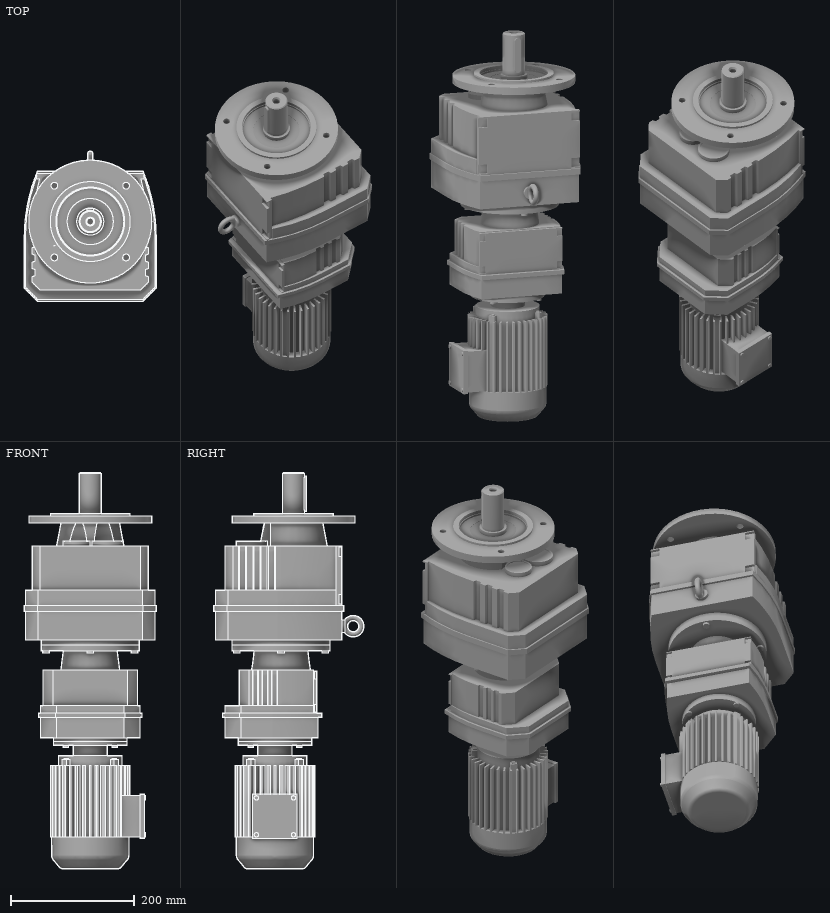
import cadquery as cq
import math


TOTAL_HEIGHT = 644.0
LARGE_JOINT_Z = 364.0
SMALL_JOINT_Z = 206.8
SMALL_AXIS_Y = -20.3
MOTOR_AXIS_Y = -30.2

SHAFT_RADIUS = 18.0
SHAFT_CHAMFER = 1.5
SHAFT_LENGTH = 70.0
COLLAR_RADIUS = 22.0
COLLAR_HEIGHT = 7.0
CENTER_HOLE_RADIUS = 5.5
CENTER_HOLE_DEPTH = 28.0
CENTER_MOUTH_RADIUS = 7.0
CENTER_MOUTH_DEPTH = 3.0
KEY_WIDTH = 10.0
KEY_LENGTH = 58.0
KEY_TOP_GAP = 5.0
KEY_PROUD = 3.0

FLANGE_RADIUS = 100.0
FLANGE_THICKNESS = 12.0
FLANGE_TOP_Z = TOTAL_HEIGHT - SHAFT_LENGTH
FLANGE_BOTTOM_Z = FLANGE_TOP_Z - FLANGE_THICKNESS
PILOT_RADIUS = 65.0
PILOT_HEIGHT = 3.5
PILOT_TOP_Z = FLANGE_TOP_Z + PILOT_HEIGHT
BOLT_CIRCLE = 165.0
BOLT_HOLE = 11.0
RECESS_RADIUS = 56.0
RECESS_FLOOR_RADIUS = 54.5
RECESS_DEPTH = 8.5
RECESS_STEP_DEPTH = 5.5
SEAL_RADIUS = 37.5
SEAL_DEPTH = 0.5

LARGE_CONE_TOP_RADIUS = 48.0
LARGE_CONE_BOTTOM_RADIUS = 55.0
LARGE_HOUSING_TOP_Z = 525.0
LARGE_COVER_TOP_Z = 453.2
LARGE_LIP_TOP_Z = 428.5
LARGE_LIP_BOTTOM_Z = 418.8
LARGE_COVER_BOTTOM_Z = 372.0
LARGE_DISC_RADIUS = 80.0
BOSS_HEIGHT = 7.7
BOSS_RIM = 3.0
BOSS_RECESS_DEPTH = 1.0
BOSSES = ((-22.5, -67.0, 22.0), (28.5, -68.0, 25.5))
SCALLOPS = ((-28.0, -69.0, 27.5), (33.0, -67.0, 30.0))

EYE_RING_RADIUS = 13.2
EYE_WIRE_RADIUS = 4.3
EYE_Y = 97.0
EYE_Z = 394.5
EYE_STEM_RADIUS = 10.5

SMALL_FLANGE_BOTTOM_Z = 354.6
SMALL_CONE_TOP_RADIUS = 44.0
SMALL_CONE_BOTTOM_RADIUS = 48.0
SMALL_HOUSING_TOP_Z = 323.5
SMALL_COVER_TOP_Z = 265.3
SMALL_LIP_TOP_Z = 253.4
SMALL_LIP_BOTTOM_Z = 246.3
SMALL_COVER_BOTTOM_Z = 213.1
SMALL_DISC_RADIUS = 60.0
SMALL_BOLT_CIRCLE = 144.0
SMALL_BOLT_DIAMETER = 11.0
BOLT_HEAD_HEIGHT = 4.0

MOTOR_DISC_BOTTOM_Z = 200.8
MOTOR_BOLT_CIRCLE = 112.0
MOTOR_BOLT_DIAMETER = 9.0
MOTOR_BOLT_HEAD = 3.2
NECK_RADIUS = 28.0
MOTOR_FLANGE_TOP_Z = 184.2
CORE_RADIUS = 52.0
FIN_TOP_Z = 168.5
FIN_BOTTOM_Z = 51.5
FIN_TIP_RADIUS = 65.0
FIN_THICKNESS = 3.0
FIN_COUNT = 36
LUG_TOP_Z = 177.6
LUG_RADIUS = 60.0
LUG_WIDTH = 11.0
LUG_CAP_WIDTH = 5.0
LUG_CAP_RADIUS = 58.0
LUG_CAP_HEIGHT = 2.0
FAN_COVER_RADIUS = 63.0
FAN_COVER_FLAT_RADIUS = 48.0
FAN_COVER_EDGE_Z = 18.0
FAN_COVER_TOP_ROUND = 10.0
FAN_COVER_BOTTOM_ROUND = 8.0

BOX_START_X = 40.0
BOX_END_X = 81.0
BOX_HALF_DEPTH = 34.2
BOX_BOTTOM_Z = FIN_BOTTOM_Z
BOX_TOP_Z = 119.5
LID_END_X = 88.2
LID_OVERHANG = 2.0
LID_SCREW_DIAMETER = 7.0
LID_SCREW_HEIGHT = 2.0
LID_SCREW_INSET = 6.0


def cylinder(x, y, radius, bottom, top):
    return cq.Workplane("XY", origin=(x, y, bottom)).circle(radius).extrude(top - bottom)


def cone(y, bottom_radius, top_radius, bottom, top):
    profile = [(0, bottom), (bottom_radius, bottom), (top_radius, top), (0, top)]
    return cq.Workplane("XZ", origin=(0, y, 0)).polyline(profile).close().revolve(360, (0, 0), (0, 1))


def block(x_min, x_max, y_min, y_max, bottom, top):
    size = (x_max - x_min, y_max - y_min, top - bottom)
    return cq.Workplane("XY", origin=(x_min, y_min, bottom)).box(*size, centered=False)


def housing_layer(half_width, front, corner, bend, back, back_half_width, bottom, top):
    """Gear case layer: chamfered front corners, and sides that curve inward from y = bend to the back."""
    inset = half_width - back_half_width
    run = back - bend
    radius = (inset**2 + run**2) / (2 * inset)
    half_angle = math.asin(run / radius) / 2
    mid_x = half_width - radius * (1 - math.cos(half_angle))
    mid_y = bend + radius * math.sin(half_angle)
    return (
        cq.Workplane("XY", origin=(0, 0, bottom))
        .moveTo(-half_width + corner, front)
        .lineTo(half_width - corner, front)
        .lineTo(half_width, front + corner)
        .lineTo(half_width, bend)
        .threePointArc((mid_x, mid_y), (back_half_width, back))
        .lineTo(-back_half_width, back)
        .threePointArc((-mid_x, mid_y), (-half_width, bend))
        .lineTo(-half_width, front + corner)
        .close()
        .extrude(top - bottom)
    )


def side_grooves(half_width, depth, first_y, pitch, mouth, floor, bottom, top):
    """Three tapered vertical grooves in each side face, stepping from first_y toward the front."""
    grooves = cq.Workplane("XY")
    for side in (-1, 1):
        for index in range(3):
            center = first_y - index * pitch
            outline = [
                (side * half_width, center - mouth / 2),
                (side * half_width, center + mouth / 2),
                (side * (half_width - depth), center + floor / 2),
                (side * (half_width - depth), center - floor / 2),
            ]
            groove = cq.Workplane("XY", origin=(0, 0, bottom)).polyline(outline).close().extrude(top - bottom)
            grooves = grooves.add(groove)
    return grooves.combine()


def back_plate(half_width, front, back, bottom, top, pocket_depth, pocket_width, pocket_height, pocket_gap):
    """Plate on the back of a gear case, with a pocket cut near each of its four corners."""
    plate = block(-half_width, half_width, front, back, bottom, top)
    for x_min in (-half_width, half_width - pocket_width):
        for z_min in (bottom + pocket_gap, top - pocket_gap - pocket_height):
            plate = plate.cut(
                block(x_min, x_min + pocket_width, back - pocket_depth, back, z_min, z_min + pocket_height)
            )
    return plate


def bolt_heads(y, circle, diameter, start_angle, height, top):
    return (
        cq.Workplane("XY", origin=(0, y, top - height))
        .polarArray(circle / 2, start_angle, 360, 4)
        .circle(diameter / 2)
        .extrude(height)
    )


def output_flange():
    flange = cylinder(0, 0, FLANGE_RADIUS, FLANGE_BOTTOM_Z, FLANGE_TOP_Z)
    flange = flange.union(cylinder(0, 0, PILOT_RADIUS, FLANGE_TOP_Z, PILOT_TOP_Z))
    floor_z = PILOT_TOP_Z - RECESS_DEPTH
    step_z = PILOT_TOP_Z - RECESS_STEP_DEPTH
    flange = flange.cut(cylinder(0, 0, RECESS_FLOOR_RADIUS, floor_z, PILOT_TOP_Z))
    flange = flange.cut(cylinder(0, 0, RECESS_RADIUS, step_z, PILOT_TOP_Z))
    flange = flange.cut(cylinder(0, 0, SEAL_RADIUS, floor_z - SEAL_DEPTH, floor_z))
    holes = (
        cq.Workplane("XY", origin=(0, 0, FLANGE_BOTTOM_Z))
        .polarArray(BOLT_CIRCLE / 2, 45, 360, 4)
        .circle(BOLT_HOLE / 2)
        .extrude(FLANGE_THICKNESS)
    )
    return flange.cut(holes)


def output_shaft():
    base_z = PILOT_TOP_Z - RECESS_DEPTH - SEAL_DEPTH
    shaft = cylinder(0, 0, SHAFT_RADIUS, base_z, TOTAL_HEIGHT).faces(">Z").chamfer(SHAFT_CHAMFER)
    shaft = shaft.union(cylinder(0, 0, COLLAR_RADIUS, base_z, base_z + COLLAR_HEIGHT))
    key_center_z = TOTAL_HEIGHT - KEY_TOP_GAP - KEY_LENGTH / 2
    key = (
        cq.Workplane("XZ", origin=(0, 0, key_center_z))
        .slot2D(KEY_LENGTH, KEY_WIDTH, 90)
        .extrude(-(SHAFT_RADIUS + KEY_PROUD))
    )
    hole = cylinder(0, 0, CENTER_HOLE_RADIUS, TOTAL_HEIGHT - CENTER_HOLE_DEPTH, TOTAL_HEIGHT)
    mouth = cone(0, CENTER_HOLE_RADIUS, CENTER_MOUTH_RADIUS, TOTAL_HEIGHT - CENTER_MOUTH_DEPTH, TOTAL_HEIGHT)
    return shaft.union(key).cut(hole).cut(mouth)


def lifting_eye(back):
    ring = cq.Workplane(
        cq.Solid.makeTorus(EYE_RING_RADIUS, EYE_WIRE_RADIUS, cq.Vector(0, EYE_Y, EYE_Z), cq.Vector(1, 0, 0))
    )
    stem_end = EYE_Y - EYE_RING_RADIUS
    stem = cq.Workplane("XZ", origin=(0, back, EYE_Z)).circle(EYE_STEM_RADIUS).extrude(back - stem_end)
    return ring.union(stem)


def large_gear_unit():
    case_back = 69.0
    plate_back = 78.5
    housing_half_width = 94.5
    cover_half_width = 105.5
    cover_bend = -26.0

    housing = housing_layer(
        half_width=housing_half_width,
        front=-111.5,
        corner=13.0,
        bend=-20.3,
        back=case_back,
        back_half_width=82.5,
        bottom=LARGE_COVER_TOP_Z,
        top=LARGE_HOUSING_TOP_Z,
    )
    grooves = side_grooves(
        half_width=housing_half_width,
        depth=5.0,
        first_y=-36.0,
        pitch=23.5,
        mouth=13.5,
        floor=9.5,
        bottom=LARGE_COVER_TOP_Z,
        top=LARGE_HOUSING_TOP_Z,
    )
    cover = housing_layer(
        half_width=cover_half_width,
        front=-127.0,
        corner=20.5,
        bend=cover_bend,
        back=plate_back,
        back_half_width=85.0,
        bottom=LARGE_COVER_BOTTOM_Z,
        top=LARGE_COVER_TOP_Z,
    )
    step = block(
        -cover_half_width, cover_half_width, case_back, plate_back, LARGE_LIP_TOP_Z, LARGE_COVER_TOP_Z
    )
    lip = housing_layer(
        half_width=107.5,
        front=-130.0,
        corner=22.0,
        bend=cover_bend,
        back=82.0,
        back_half_width=86.0,
        bottom=LARGE_LIP_BOTTOM_Z,
        top=LARGE_LIP_TOP_Z,
    )
    plate = back_plate(
        half_width=87.0,
        front=case_back,
        back=plate_back,
        bottom=LARGE_LIP_TOP_Z,
        top=LARGE_HOUSING_TOP_Z,
        pocket_depth=4.5,
        pocket_width=15.0,
        pocket_height=15.5,
        pocket_gap=2.0,
    )

    neck = cone(0, LARGE_CONE_BOTTOM_RADIUS, LARGE_CONE_TOP_RADIUS, LARGE_HOUSING_TOP_Z, FLANGE_BOTTOM_Z)
    boss_top = LARGE_HOUSING_TOP_Z + BOSS_HEIGHT
    bosses = cq.Workplane("XY")
    for x, y, radius in BOSSES:
        boss = cylinder(x, y, radius, LARGE_HOUSING_TOP_Z, boss_top)
        recess = cylinder(x, y, radius - BOSS_RIM, boss_top - BOSS_RECESS_DEPTH, boss_top)
        bosses = bosses.add(boss.cut(recess))
    for x, y, radius in SCALLOPS:
        neck = neck.cut(cylinder(x, y, radius, LARGE_HOUSING_TOP_Z, FLANGE_BOTTOM_Z))

    disc = cylinder(0, SMALL_AXIS_Y, LARGE_DISC_RADIUS, LARGE_JOINT_Z, LARGE_COVER_BOTTOM_Z)
    unit = housing.cut(grooves).union(cover.cut(step)).union(lip).union(plate).union(disc)
    unit = unit.union(neck).union(bosses.combine())
    return unit.union(output_flange()).union(output_shaft()).union(lifting_eye(plate_back))


def small_gear_unit():
    case_back = 32.7
    plate_back = 38.0
    plate_drop = 1.5
    cover_back = 40.0
    back_half_width = 69.0
    housing_half_width = 76.9
    cover_half_width = 80.9
    cover_bend = -34.0

    housing = housing_layer(
        half_width=housing_half_width,
        front=-88.5,
        corner=16.0,
        bend=-19.4,
        back=case_back,
        back_half_width=back_half_width,
        bottom=SMALL_COVER_TOP_Z,
        top=SMALL_HOUSING_TOP_Z,
    )
    grooves = side_grooves(
        half_width=housing_half_width,
        depth=3.5,
        first_y=-30.9,
        pitch=15.5,
        mouth=10.0,
        floor=7.5,
        bottom=SMALL_COVER_TOP_Z,
        top=SMALL_HOUSING_TOP_Z,
    )
    cover = housing_layer(
        half_width=cover_half_width,
        front=-111.5,
        corner=26.0,
        bend=cover_bend,
        back=cover_back,
        back_half_width=back_half_width,
        bottom=SMALL_COVER_BOTTOM_Z,
        top=SMALL_COVER_TOP_Z,
    )
    step = block(
        -cover_half_width, cover_half_width, case_back, cover_back, SMALL_LIP_TOP_Z, SMALL_COVER_TOP_Z
    )
    lip = housing_layer(
        half_width=84.5,
        front=-115.5,
        corner=28.0,
        bend=cover_bend,
        back=46.0,
        back_half_width=71.0,
        bottom=SMALL_LIP_BOTTOM_Z,
        top=SMALL_LIP_TOP_Z,
    )
    plate = back_plate(
        half_width=71.0,
        front=case_back,
        back=plate_back,
        bottom=SMALL_LIP_TOP_Z,
        top=SMALL_HOUSING_TOP_Z - plate_drop,
        pocket_depth=3.5,
        pocket_width=10.0,
        pocket_height=12.0,
        pocket_gap=1.5,
    )

    flange = cylinder(0, SMALL_AXIS_Y, LARGE_DISC_RADIUS, SMALL_FLANGE_BOTTOM_Z, LARGE_JOINT_Z)
    heads = bolt_heads(
        SMALL_AXIS_Y, SMALL_BOLT_CIRCLE, SMALL_BOLT_DIAMETER, 0, BOLT_HEAD_HEIGHT, SMALL_FLANGE_BOTTOM_Z
    )
    neck = cone(
        SMALL_AXIS_Y,
        SMALL_CONE_BOTTOM_RADIUS,
        SMALL_CONE_TOP_RADIUS,
        SMALL_HOUSING_TOP_Z,
        SMALL_FLANGE_BOTTOM_Z,
    )
    disc = cylinder(0, MOTOR_AXIS_Y, SMALL_DISC_RADIUS, SMALL_JOINT_Z, SMALL_COVER_BOTTOM_Z)
    unit = housing.cut(grooves).union(cover.cut(step)).union(lip).union(plate).union(disc)
    return unit.union(neck).union(flange).union(heads)


def radial_bar(angle, width, outer_radius, bottom, top):
    """Upright bar reaching out from the motor axis at the given angle."""
    return (
        cq.Workplane("XY", origin=(0, 0, bottom))
        .center(outer_radius / 2, 0)
        .rect(outer_radius, width)
        .extrude(top - bottom)
        .rotate((0, 0, 0), (0, 0, 1), angle)
        .translate((0, MOTOR_AXIS_Y, 0))
    )


def cooling_fins():
    fins = cq.Workplane("XY")
    for index in range(FIN_COUNT):
        angle = index * 360 / FIN_COUNT
        fins = fins.add(radial_bar(angle, FIN_THICKNESS, FIN_TIP_RADIUS, FIN_BOTTOM_Z, FIN_TOP_Z))
    return fins.combine()


def corner_lugs():
    lugs = cq.Workplane("XY")
    for angle in (45, 135, 225, 315):
        lugs = lugs.add(radial_bar(angle, LUG_WIDTH, LUG_RADIUS, FIN_BOTTOM_Z, LUG_TOP_Z))
        lugs = lugs.add(radial_bar(angle, LUG_CAP_WIDTH, LUG_CAP_RADIUS, LUG_TOP_Z, LUG_TOP_Z + LUG_CAP_HEIGHT))
    return lugs.combine()


def fan_cover():
    body = cylinder(0, MOTOR_AXIS_Y, FAN_COVER_RADIUS, FAN_COVER_EDGE_Z, FIN_BOTTOM_Z)
    cap = cone(MOTOR_AXIS_Y, FAN_COVER_FLAT_RADIUS, FAN_COVER_RADIUS, 0, FAN_COVER_EDGE_Z)
    cover = body.union(cap).faces("<Z").edges().fillet(FAN_COVER_BOTTOM_ROUND)
    shoulder_center = (0, MOTOR_AXIS_Y, FAN_COVER_EDGE_Z)
    shoulder = cover.edges("%CIRCLE").edges(cq.selectors.NearestToPointSelector(shoulder_center))
    return shoulder.fillet(FAN_COVER_TOP_ROUND)


def terminal_box():
    y_front = MOTOR_AXIS_Y - BOX_HALF_DEPTH
    y_back = MOTOR_AXIS_Y + BOX_HALF_DEPTH
    box = block(BOX_START_X, BOX_END_X, y_front, y_back, BOX_BOTTOM_Z, BOX_TOP_Z)
    lid = block(
        BOX_END_X,
        LID_END_X,
        y_front - LID_OVERHANG,
        y_back + LID_OVERHANG,
        BOX_BOTTOM_Z - LID_OVERHANG,
        BOX_TOP_Z + LID_OVERHANG,
    )
    spacing_y = 2 * (BOX_HALF_DEPTH + LID_OVERHANG - LID_SCREW_INSET)
    spacing_z = BOX_TOP_Z - BOX_BOTTOM_Z + 2 * (LID_OVERHANG - LID_SCREW_INSET)
    screws = (
        cq.Workplane("YZ", origin=(LID_END_X, MOTOR_AXIS_Y, (BOX_BOTTOM_Z + BOX_TOP_Z) / 2))
        .rarray(spacing_y, spacing_z, 2, 2)
        .circle(LID_SCREW_DIAMETER / 2)
        .extrude(LID_SCREW_HEIGHT)
    )
    return box.union(lid).union(screws)


def motor():
    disc = cylinder(0, MOTOR_AXIS_Y, SMALL_DISC_RADIUS, MOTOR_DISC_BOTTOM_Z, SMALL_JOINT_Z)
    heads = bolt_heads(
        MOTOR_AXIS_Y, MOTOR_BOLT_CIRCLE, MOTOR_BOLT_DIAMETER, 45, MOTOR_BOLT_HEAD, MOTOR_DISC_BOTTOM_Z
    )
    neck = cylinder(0, MOTOR_AXIS_Y, NECK_RADIUS, MOTOR_FLANGE_TOP_Z, MOTOR_DISC_BOTTOM_Z)
    core = cylinder(0, MOTOR_AXIS_Y, CORE_RADIUS, FIN_BOTTOM_Z, MOTOR_FLANGE_TOP_Z)
    body = core.union(cooling_fins()).union(corner_lugs()).union(terminal_box())
    return body.union(fan_cover()).union(neck).union(disc).union(heads)


result = cq.Compound.makeCompound([large_gear_unit().val(), small_gear_unit().val(), motor().val()])